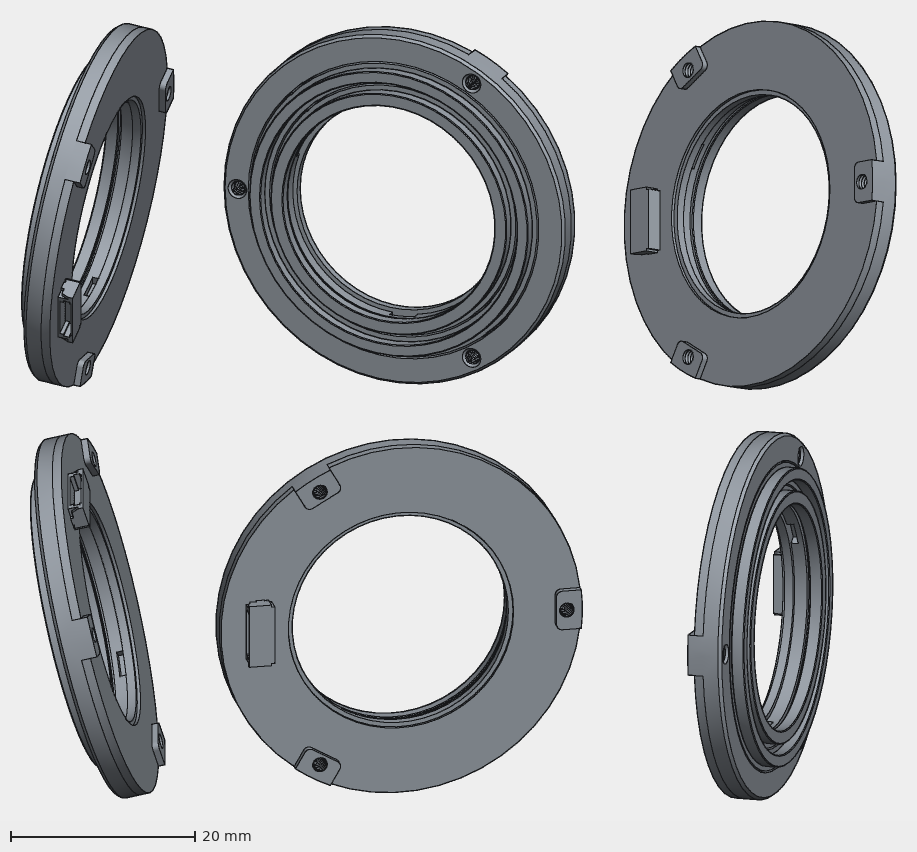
import cadquery as cq
import math


RING_HEIGHT = 1.45
BOARD_THICKNESS = 1.0
BOARD_BACK = 4.5
BOARD_FRONT = BOARD_BACK - BOARD_THICKNESS
TAB_BACK = 5.25
CONNECTOR_BACK = 6.2
BASE_FRONT = RING_HEIGHT

OUTER_DIAMETER = 39.97
OUTER_BASE_BORE = 34.0
MIDDLE_BASE_OUTER = 33.6
MIDDLE_BASE_BORE = 29.0
INNER_BASE_OUTER = 28.6
INNER_BASE_BORE = 25.0
SPIGOT_BORE = 24.0
BOARD_BORE = INNER_BASE_BORE

RIM_CHAMFER_RADIAL = 0.28
RIM_CHAMFER_AXIAL = 0.35

LIP_DIAMETER = 26.2
LIP_FRONT = 1.75

SPIGOT_FRONT = 3.2
SPIGOT_BACK = 4.15

LARGE_RING = (32.6, 30.0)
SMALL_RING = (27.6, 24.8)
RING_CHAMFER = 0.1

TAB_COUNT = 3
TAB_WIDTH = 4.48
TAB_INNER_RADIUS = 17.1
TAB_CORNER_RADIUS = 0.65
HOLE_RADIUS_POSITION = 18.25
THREAD_MINOR = 1.6
THREAD_MAJOR = 2.0
THREAD_PITCH = 0.4
HOLE_MOUTH = 2.15

POCKET_COUNT = 3
POCKET_FIRST_ANGLE = 27.0
POCKET_WIDTH = 2.95
POCKET_FRONT = 2.4
POCKET_FLOOR_RADIUS = 13.35

CONNECTOR_LENGTH = 7.05
CONNECTOR_REAR = -14.35
CONNECTOR_MOUTH = -17.2
FOOT_HEIGHT = 0.1
UNDERCUT_REAR = -14.9
UNDERCUT_WIDTH = 0.25
REAR_STEP_DEPTH = 0.35
REAR_STEP_INSET = 0.25
OPENING_LENGTH = 5.05
OPENING_LOW = 4.7
OPENING_HIGH = 6.0
OPENING_DEPTH = 2.0
KEY_LENGTH = 5.5
KEY_LOW = 5.15
KEY_HIGH = 5.85
END_RECESS_DEPTH = 0.35


def ring_band(x_start, x_end, outer, bore):
    """Plain ring about the X axis."""
    return (
        cq.Workplane("YZ")
        .workplane(offset=x_start)
        .circle(outer / 2)
        .circle(bore / 2)
        .extrude(x_end - x_start)
    )


def turned(points):
    """Solid of revolution about the X axis from (x, radius) points."""
    return cq.Workplane("XY").polyline(points).close().revolve(360, (0, 0, 0), (1, 0, 0))


def box(x_range, y_range, z_range):
    """Box given by its lowest and highest coordinate on each axis."""
    (x0, x1), (y0, y1), (z0, z1) = x_range, y_range, z_range
    return cq.Workplane("XY").box(x1 - x0, y1 - y0, z1 - z0, centered=False).translate((x0, y0, z0))


def around_axis(shape, count, first_angle=0.0):
    """Copies of a shape spread evenly around the X axis."""
    return [shape.rotate((0, 0, 0), (1, 0, 0), first_angle + 360 / count * i) for i in range(count)]


def make_tab():
    """Tab behind the outer base, on the +Y side, cut off by the rim of the base."""
    tab = box(
        (BOARD_FRONT, TAB_BACK),
        (TAB_INNER_RADIUS, OUTER_DIAMETER / 2),
        (-TAB_WIDTH / 2, TAB_WIDTH / 2),
    )
    tab = tab.edges("|X and <Y").fillet(TAB_CORNER_RADIUS)
    rim = cq.Workplane("YZ").workplane(offset=BOARD_FRONT).circle(OUTER_DIAMETER / 2).extrude(TAB_BACK)
    return tab.intersect(rim)


def make_threaded_hole():
    """Cutter for one through hole on the +Y side: round thread grooves and a chamfered mouth."""
    minor = THREAD_MINOR / 2
    major = THREAD_MAJOR / 2
    mouth = HOLE_MOUTH / 2
    thread_start = BASE_FRONT + mouth - minor
    groove_count = math.floor((TAB_BACK - thread_start) / THREAD_PITCH)
    points = [(BASE_FRONT, 0), (BASE_FRONT, mouth), (thread_start, minor)]
    for i in range(groove_count):
        groove_start = thread_start + i * THREAD_PITCH
        points.append((groove_start + THREAD_PITCH / 2, major))
        points.append((groove_start + THREAD_PITCH, minor))
    points += [(TAB_BACK, minor), (TAB_BACK, 0)]
    return turned(points).translate((0, HOLE_RADIUS_POSITION, 0))


def make_outer_base():
    """Outer base with a chamfered rim and the tabs that reach through the board."""
    base = ring_band(BASE_FRONT, BOARD_FRONT, OUTER_DIAMETER, OUTER_BASE_BORE)
    front_rim = base.faces("<X").edges(cq.selectors.RadiusNthSelector(-1))
    base = front_rim.chamfer(RIM_CHAMFER_AXIAL, RIM_CHAMFER_RADIAL)
    for tab in around_axis(make_tab(), TAB_COUNT):
        base = base.union(tab)
    for hole in around_axis(make_threaded_hole(), TAB_COUNT):
        base = base.cut(hole)
    return base


def make_middle_base():
    """Base under the large ring, with a gap on both sides."""
    return ring_band(BASE_FRONT, BOARD_FRONT, MIDDLE_BASE_OUTER, MIDDLE_BASE_BORE)


def make_inner_base():
    """Base under the small ring, with a lip at its bore, a spigot at the back and pockets before it."""
    base = ring_band(BASE_FRONT, BOARD_FRONT, INNER_BASE_OUTER, INNER_BASE_BORE)
    base = base.union(ring_band(SPIGOT_FRONT, BOARD_FRONT, INNER_BASE_OUTER, SPIGOT_BORE))
    base = base.union(ring_band(BOARD_FRONT, SPIGOT_BACK, BOARD_BORE, SPIGOT_BORE))
    base = base.cut(ring_band(BASE_FRONT, LIP_FRONT, LIP_DIAMETER, INNER_BASE_BORE))
    pocket = box(
        (POCKET_FRONT, SPIGOT_FRONT),
        (SPIGOT_BORE / 2, POCKET_FLOOR_RADIUS),
        (-POCKET_WIDTH / 2, POCKET_WIDTH / 2),
    )
    for cutter in around_axis(pocket, POCKET_COUNT, POCKET_FIRST_ANGLE):
        base = base.cut(cutter)
    return base


def make_contact_ring(outer, bore):
    """Ring with chamfered edges that stands on its base."""
    return ring_band(0, RING_HEIGHT, outer, bore).edges().chamfer(RING_CHAMFER)


def make_board():
    """Circuit board with notches that fit the tabs."""
    board = ring_band(BOARD_FRONT, BOARD_BACK, OUTER_DIAMETER, BOARD_BORE)
    for tab in around_axis(make_tab(), TAB_COUNT):
        board = board.cut(tab)
    return board


def make_connector():
    """Connector with its opening towards -Y."""
    half = CONNECTOR_LENGTH / 2
    full_height = (BOARD_BACK, CONNECTOR_BACK)
    body = box(full_height, (CONNECTOR_MOUTH, CONNECTOR_REAR), (-half, half))

    undercut = (UNDERCUT_REAR - UNDERCUT_WIDTH, UNDERCUT_REAR)
    body = body.cut(box((BOARD_BACK, BOARD_BACK + FOOT_HEIGHT), undercut, (-half, half)))

    opening_y = (CONNECTOR_MOUTH, CONNECTOR_MOUTH + OPENING_DEPTH)
    opening = box((OPENING_LOW, OPENING_HIGH), opening_y, (-OPENING_LENGTH / 2, OPENING_LENGTH / 2))
    key = box((KEY_LOW, KEY_HIGH), opening_y, (-KEY_LENGTH / 2, KEY_LENGTH / 2))
    body = body.cut(opening).cut(key)

    recess = cq.Workplane("XY").polyline(
        [
            (BOARD_BACK, CONNECTOR_MOUTH),
            (BOARD_BACK, -16.1),
            (4.85, -16.1),
            (4.85, -16.83),
            (5.65, CONNECTOR_MOUTH),
        ]
    ).close().extrude(END_RECESS_DEPTH)
    rear_step = box(full_height, (CONNECTOR_REAR - REAR_STEP_DEPTH, CONNECTOR_REAR), (0, REAR_STEP_INSET))
    upper_end = recess.translate((0, 0, half - END_RECESS_DEPTH))
    upper_step = rear_step.translate((0, 0, half - REAR_STEP_INSET))
    for cutter in (upper_end, upper_step):
        body = body.cut(cutter).cut(cutter.mirror("XY"))
    return body


outer_base = make_outer_base()
middle_base = make_middle_base()
inner_base = make_inner_base()
large_ring = make_contact_ring(*LARGE_RING)
small_ring = make_contact_ring(*SMALL_RING)
board = make_board()
connector = make_connector()

bodies = [outer_base, middle_base, inner_base, large_ring, small_ring, board, connector]
result = cq.Compound.makeCompound([body.solids().val() for body in bodies])